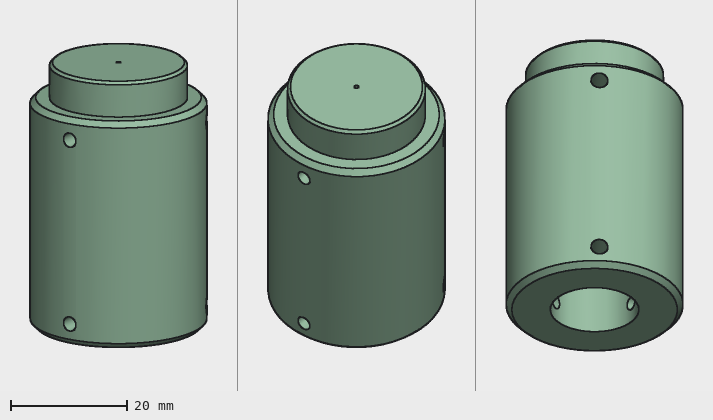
import cadquery as cq

total_height = 47.0
body_diameter = 30.5
body_height = 40.7
body_chamfer = 1.0
boss_diameter = 23.8
boss_chamfer = 0.5

bore_diameter = 15.22
bore_depth = body_height
pinhole_diameter = 0.75

radial_hole_heights = (3.75, 36.8)
front_hole_diameter = 2.55
rear_hole_diameter = 2.85
front_hole_angle = -90.0
ring_pitch = 120.0


def make_cylinder(diameter, bottom, height):
    return cq.Workplane("XY", origin=(0, 0, bottom)).circle(diameter / 2).extrude(height)


def make_radial_cutter(diameter, angle, height):
    """Cylinder from the part axis out to the body surface, at an angle measured from +X."""
    cutter = (
        cq.Workplane("YZ", origin=(0, 0, height))
        .circle(diameter / 2)
        .extrude(body_diameter / 2)
    )
    return cutter.rotate((0, 0, 0), (0, 0, 1), angle)


body = make_cylinder(body_diameter, 0, body_height).faces("<Z or >Z").chamfer(body_chamfer)
boss = make_cylinder(boss_diameter, body_height, total_height - body_height)
boss = boss.faces(">Z").chamfer(boss_chamfer)
result = body.union(boss)

result = result.cut(make_cylinder(bore_diameter, 0, bore_depth))
result = result.cut(make_cylinder(pinhole_diameter, 0, total_height))

radial_holes = (
    (front_hole_diameter, front_hole_angle),
    (rear_hole_diameter, front_hole_angle + ring_pitch),
    (rear_hole_diameter, front_hole_angle - ring_pitch),
)
for height in radial_hole_heights:
    for diameter, angle in radial_holes:
        result = result.cut(make_radial_cutter(diameter, angle, height))